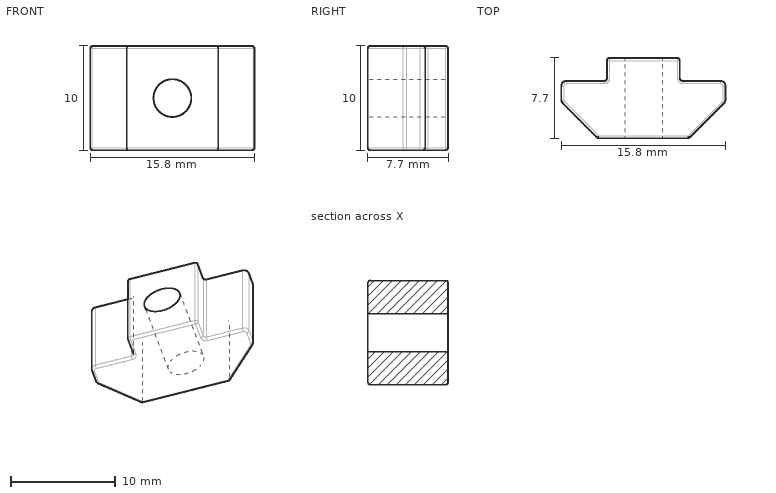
import cadquery as cq

width = 15.75
depth = 7.7
height = 10.0

neck_width = 7.0
neck_depth = 2.2
base_chamfer = 3.5

wing_radius = 0.5
edge_radius = 0.25

hole_diameter = 3.6

half_width = width / 2
half_neck = neck_width / 2
half_base = half_width - base_chamfer
shoulder_y = depth - neck_depth


def vertical_edges_at(body, x, y):
    """Select the mirrored pair of full-height edges at (-x, y) and (x, y)."""
    reach = edge_radius / 2
    selector = None
    for side in (-1, 1):
        low = (side * x - reach, y - reach, -height)
        high = (side * x + reach, y + reach, height)
        box = cq.selectors.BoxSelector(low, high)
        selector = box if selector is None else selector + box
    return body.edges("|Z").edges(selector)


def make_profile_body():
    """T-shaped profile with a 45-degree tapered base, centred on Z = 0."""
    half_outline = [
        (0, 0),
        (half_base, 0),
        (half_width, base_chamfer),
        (half_width, shoulder_y),
        (half_neck, shoulder_y),
        (half_neck, depth),
        (0, depth),
    ]
    half_body = cq.Workplane("XY").polyline(half_outline).close().extrude(height / 2, both=True)
    return half_body.union(half_body.mirror("YZ")).clean()


def round_edges(body):
    """Round the wings and inside neck corners, then the neck top and both end rims together."""
    body = vertical_edges_at(body, half_width, shoulder_y).fillet(wing_radius)
    body = vertical_edges_at(body, half_width, base_chamfer).fillet(wing_radius)
    body = vertical_edges_at(body, half_neck, shoulder_y).fillet(edge_radius)
    neck_corners = vertical_edges_at(body, half_neck, depth)
    end_rims = body.faces("|Z").edges()
    return neck_corners.add(end_rims).fillet(edge_radius)


def make_hole():
    """Plain round hole along Y through the centre of the nut."""
    return cq.Workplane("XZ").circle(hole_diameter / 2).extrude(-depth)


result = round_edges(make_profile_body()).cut(make_hole())